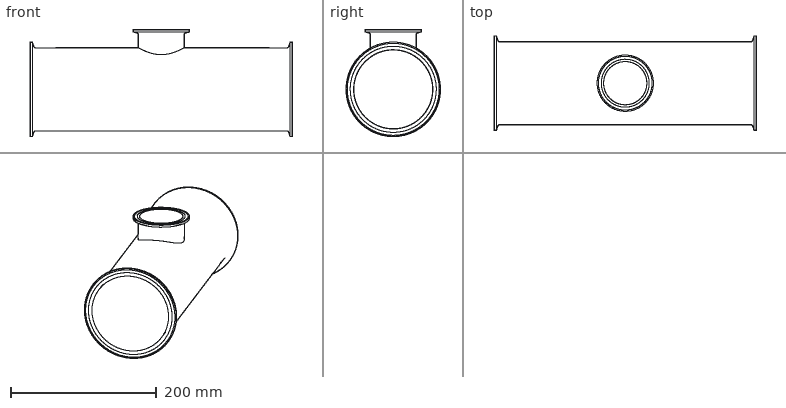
import cadquery as cq
import math

run_length = 360.0
run_outer_radius = 114.5 / 2
run_bore_radius = 108.5 / 2
run_flange_radius = 130.0 / 2

total_height = 147.0
branch_face_height = total_height - run_flange_radius
branch_outer_radius = 63.5 / 2
branch_bore_radius = 59.5 / 2
branch_flange_radius = 77.5 / 2

rim_thickness = 3.0
flange_back_angle = math.radians(20)
neck_fillet_radius = 1.8

groove_rim_margin = 1.8
groove_width = 4.0
groove_depth = 1.5
groove_wall_depth = 0.7
groove_wall_width = 0.7


def ferrule_pipe(outer_radius, flange_radius, length):
    """Solid pipe along +Z with a clamp flange, its sealing face at Z = 0."""
    slope = math.tan(flange_back_angle)
    cone_end = rim_thickness + (flange_radius - outer_radius) * slope
    tangent_length = neck_fillet_radius * math.tan((math.pi / 2 - flange_back_angle) / 2)
    cone_tangent = (
        outer_radius + tangent_length * math.cos(flange_back_angle),
        cone_end - tangent_length * math.sin(flange_back_angle),
    )
    wall_tangent = (outer_radius, cone_end + tangent_length)
    return (
        cq.Workplane("XZ")
        .lineTo(flange_radius, 0)
        .lineTo(flange_radius, rim_thickness)
        .lineTo(*cone_tangent)
        .radiusArc(wall_tangent, neck_fillet_radius)
        .lineTo(outer_radius, length)
        .lineTo(0, length)
        .close()
        .revolve(360, (0, 0), (0, 1))
    )


def gasket_groove(flange_radius):
    """Ring with sloping sides and a rounded floor, open at Z = 0."""
    outer_edge = flange_radius - groove_rim_margin
    inner_edge = outer_edge - groove_width
    middle = (inner_edge + outer_edge) / 2
    inner_wall_foot = (inner_edge + groove_wall_width, groove_wall_depth)
    outer_wall_foot = (outer_edge - groove_wall_width, groove_wall_depth)
    return (
        cq.Workplane("XZ")
        .moveTo(inner_edge, 0)
        .lineTo(outer_edge, 0)
        .lineTo(*outer_wall_foot)
        .threePointArc((middle, groove_depth), inner_wall_foot)
        .close()
        .revolve(360, (0, 0), (0, 1))
    )


def clamp_end(outer_radius, flange_radius, length):
    return ferrule_pipe(outer_radius, flange_radius, length).cut(gasket_groove(flange_radius))


half_length = run_length / 2
run_half = (
    clamp_end(run_outer_radius, run_flange_radius, half_length)
    .rotate((0, 0, 0), (0, 1, 0), 90)
    .translate((-half_length, 0, 0))
)
run = run_half.union(run_half.mirror("YZ"))

branch = (
    clamp_end(branch_outer_radius, branch_flange_radius, branch_face_height)
    .rotate((0, 0, 0), (1, 0, 0), 180)
    .translate((0, 0, branch_face_height))
)

run_bore = cq.Workplane("YZ").circle(run_bore_radius).extrude(half_length, both=True)
branch_bore = cq.Workplane("XY").circle(branch_bore_radius).extrude(branch_face_height)

result = run.union(branch).cut(run_bore).cut(branch_bore).clean()